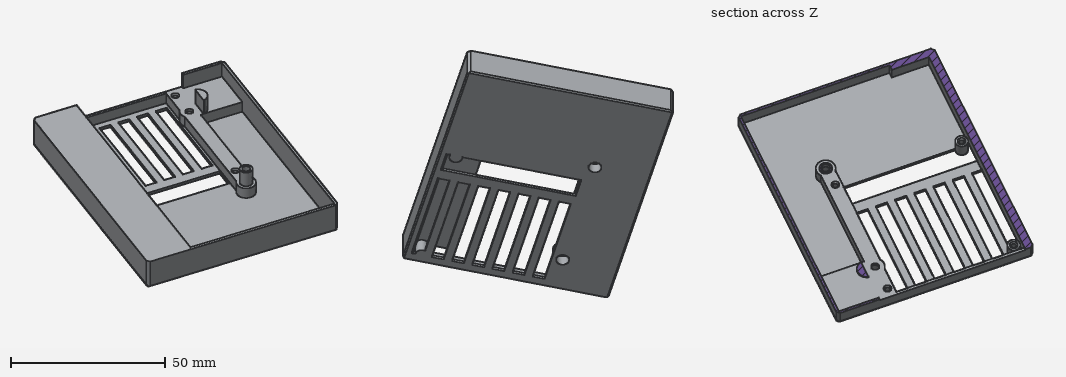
import cadquery as cq

LENGTH, WIDTH, HEIGHT = 84.5, 69.0, 10.6
WALL = 1.0
CORNER_CHAMFER = 1.0
BASE_CHAMFER = 0.5

LID_EDGE_Y = 16.0
LID_THICKNESS = 1.3
LID_WALL = 2.95
LID_BEVEL = 1.0

PLATFORM_TOP = 5.0
BLOCK_END_X = 16.0
BAR_FRONT_Y, BAR_BACK_Y = 47.8, 53.0
MOUNT_Y = 50.45
MOUNT_XS = (12.8, 54.4)
MOUNT_PAD_DIAMETER = 6.4
MOUNT_HOLE_DIAMETER = 2.6
SCREW_HEAD_DIAMETER = 4.2
SCREW_SEAT_THICKNESS = 1.0
POST_DIAMETER = 4.2
PILOT_XS = (3.3, 47.3)
PILOT_BACK_Y = 50.0
PILOT_FRONT_Y = 5.7
PILOT_DIAMETER, PILOT_MOUTH_DIAMETER = 1.6, 2.6
PILOT_MOUTH_DEPTH = (PILOT_MOUTH_DIAMETER - PILOT_DIAMETER) / 2

STOP_WIDTH, STOP_DEPTH = 6.25, 2.6
STOP_SIDE_DEPTH = 0.3
STOP_FRONT_Y = 54.0

SIDE_OPENING_BACK_Y = STOP_FRONT_Y
SLOT_COUNT = 7
SLOT_PITCH = 6.8
SLOT_X, SLOT_LENGTH, SLOT_WIDTH = 3.2, 33.8, 4.0
LAST_SLOT_BACK_Y = 46.9
FIRST_SLOT_Y = LAST_SLOT_BACK_Y - SLOT_WIDTH - (SLOT_COUNT - 1) * SLOT_PITCH
WINDOW_X, WINDOW_WIDTH = 40.8, 7.1
WINDOW_BACK_Y = 47.6


def box(x0, x1, y0, y1, z0, z1):
    """Box between two corners."""
    return cq.Workplane("XY").box(x1 - x0, y1 - y0, z1 - z0, centered=False).translate((x0, y0, z0))


def cylinder(x, y, diameter, z0, z1):
    """Upright cylinder between two heights."""
    return cq.Workplane("XY", origin=(x, y, z0)).circle(diameter / 2).extrude(z1 - z0)


def make_shell():
    """Tray whose front part is roofed by the lid."""
    outline = box(0, LENGTH, 0, WIDTH, 0, HEIGHT).edges("|Z").chamfer(CORNER_CHAMFER)
    body = box(0, LENGTH, 0, WIDTH, 0, HEIGHT).faces("<Z").edges().chamfer(BASE_CHAMFER)
    body = body.intersect(outline)
    open_bay = box(WALL, LENGTH - WALL, LID_EDGE_Y, WIDTH - WALL, WALL, HEIGHT)
    lid_bay = box(WALL, LENGTH - LID_WALL, LID_WALL, LID_EDGE_Y, WALL, HEIGHT - LID_THICKNESS)
    lid_bay = lid_bay.faces(">Z").edges("<Y or >X").chamfer(LID_BEVEL)
    return body.cut(open_bay).cut(lid_bay)


def cut_side_opening(body):
    """Lower the left wall to the platform level, both behind and below the lid."""
    open_part = box(0, WALL, LID_EDGE_Y, SIDE_OPENING_BACK_Y, PLATFORM_TOP, HEIGHT)
    lid_part = box(0, WALL, LID_WALL, LID_EDGE_Y, PLATFORM_TOP, HEIGHT - LID_THICKNESS)
    lid_part = lid_part.edges("|X and >Z and <Y").chamfer(LID_BEVEL)
    return body.cut(open_part).cut(lid_part)


def cut_floor_openings(body):
    """Row of vent slots, and the window beside them, through the floor only."""
    for i in range(SLOT_COUNT):
        y = FIRST_SLOT_Y + i * SLOT_PITCH
        body = body.cut(box(SLOT_X, SLOT_X + SLOT_LENGTH, y, y + SLOT_WIDTH, 0, WALL))
    return body.cut(box(WINDOW_X, WINDOW_X + WINDOW_WIDTH, FIRST_SLOT_Y, WINDOW_BACK_Y, 0, WALL))


def pilot_hole(x, y):
    """Blind bore down to the floor, with a countersunk mouth."""
    countersink = (
        cq.Workplane("XY", origin=(x, y, PLATFORM_TOP))
        .circle(PILOT_MOUTH_DIAMETER / 2)
        .workplane(offset=-PILOT_MOUTH_DEPTH)
        .circle(PILOT_DIAMETER / 2)
        .loft()
    )
    return countersink.union(cylinder(x, y, PILOT_DIAMETER, WALL, PLATFORM_TOP))


def add_platform(body):
    """Corner block, mounting bar with round pads, hollow post and stop, bored for screws from below."""
    body = body.union(box(WALL, BLOCK_END_X, BAR_FRONT_Y, WIDTH - WALL, WALL, PLATFORM_TOP))
    body = body.union(box(WALL, MOUNT_XS[1], BAR_FRONT_Y, BAR_BACK_Y, WALL, PLATFORM_TOP))
    for x in MOUNT_XS:
        body = body.union(cylinder(x, MOUNT_Y, MOUNT_PAD_DIAMETER, 0, PLATFORM_TOP))
    body = body.union(cylinder(MOUNT_XS[1], MOUNT_Y, POST_DIAMETER, PLATFORM_TOP, HEIGHT))
    stop = (
        cq.Workplane("XY", origin=(BLOCK_END_X - STOP_WIDTH / 2, STOP_FRONT_Y, PLATFORM_TOP))
        .moveTo(-STOP_WIDTH / 2, 0)
        .lineTo(-STOP_WIDTH / 2, STOP_SIDE_DEPTH)
        .threePointArc((0, STOP_DEPTH), (STOP_WIDTH / 2, STOP_SIDE_DEPTH))
        .lineTo(STOP_WIDTH / 2, 0)
        .close()
        .extrude(HEIGHT - PLATFORM_TOP)
    )
    body = body.union(stop)
    for x in MOUNT_XS:
        body = body.cut(cylinder(x, MOUNT_Y, MOUNT_HOLE_DIAMETER, 0, HEIGHT))
        body = body.cut(cylinder(x, MOUNT_Y, SCREW_HEAD_DIAMETER, 0, PLATFORM_TOP - SCREW_SEAT_THICKNESS))
    for x in PILOT_XS:
        body = body.cut(pilot_hole(x, PILOT_BACK_Y))
    return body


def add_front_posts(body):
    """Short posts under the lid, level with the platform, with pilot holes."""
    for x in PILOT_XS:
        post = cylinder(x, PILOT_FRONT_Y, POST_DIAMETER, 0, PLATFORM_TOP)
        body = body.union(post).cut(pilot_hole(x, PILOT_FRONT_Y))
    return body


result = make_shell()
result = cut_side_opening(result)
result = cut_floor_openings(result)
result = add_platform(result)
result = add_front_posts(result)